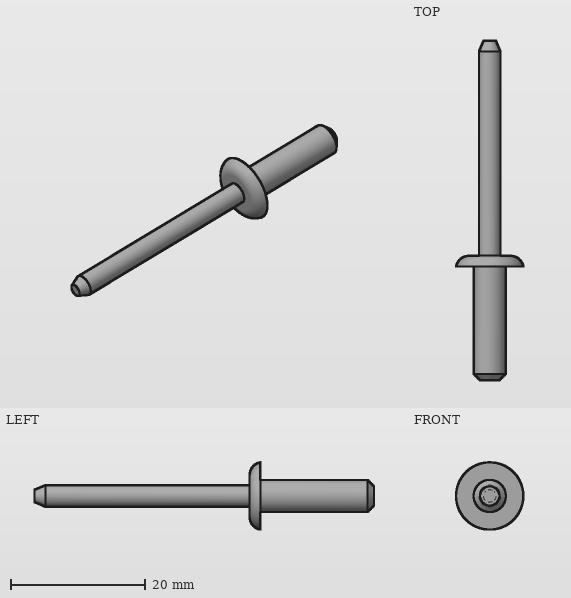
import cadquery as cq

total_length = 50.55
body_diameter = 4.8
body_length = 16.95
body_chamfer = 0.95
flange_diameter = 10.05
flange_height = 1.6
flange_crown_diameter = 6.25
flange_arc_bulge = 0.43
mandrel_diameter = 3.25
mandrel_tip_diameter = 1.85
mandrel_tip_length = 1.6

body_radius = body_diameter / 2
flange_radius = flange_diameter / 2
crown_radius = flange_crown_diameter / 2
mandrel_radius = mandrel_diameter / 2
tip_radius = mandrel_tip_diameter / 2

blind_end = -total_length / 2
mandrel_end = total_length / 2
flange_face = blind_end + body_length
flange_top = flange_face + flange_height

edge_run = flange_radius - crown_radius
edge_chord = (edge_run**2 + flange_height**2) ** 0.5
edge_middle = (
    (flange_radius + crown_radius) / 2 + flange_arc_bulge * flange_height / edge_chord,
    (flange_face + flange_top) / 2 + flange_arc_bulge * edge_run / edge_chord,
)

half_section = (
    cq.Workplane("XY")
    .moveTo(0, blind_end)
    .lineTo(body_radius - body_chamfer, blind_end)
    .lineTo(body_radius, blind_end + body_chamfer)
    .lineTo(body_radius, flange_face)
    .lineTo(flange_radius, flange_face)
    .threePointArc(edge_middle, (crown_radius, flange_top))
    .lineTo(mandrel_radius, flange_top)
    .lineTo(mandrel_radius, mandrel_end - mandrel_tip_length)
    .lineTo(tip_radius, mandrel_end)
    .lineTo(0, mandrel_end)
    .close()
)

result = half_section.revolve(360, (0, 0, 0), (0, 1, 0))